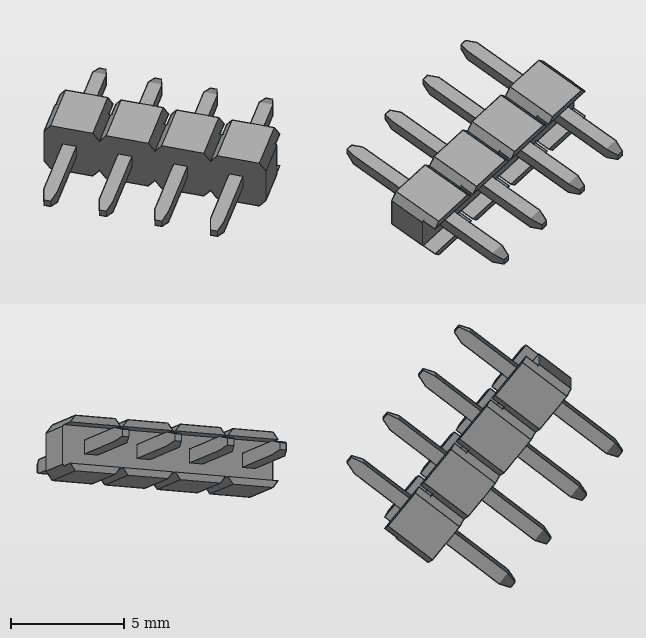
import cadquery as cq

cell_count = 4
body_length = 10.16
body_depth = 2.5
body_height = 2.5
pitch = body_length / cell_count

bevel_x = 0.3
bevel_z = 0.4

channel_depth = 0.69
lip_thickness = 0.33

pin_width = 0.63
tip_width = 0.31
tip_length = 0.53
front_reach = 3.68
back_reach = 3.03
pin_offset = -0.1

body_front = -body_depth / 2
body_back = body_depth / 2
pin_front = body_front - front_reach
pin_back = body_back + back_reach
cell_centers = [(i - (cell_count - 1) / 2) * pitch for i in range(cell_count)]


def box_between(x_size, y_start, y_end, z_size, x_center=0):
    """Box centred on Z that spans y_start to y_end."""
    return (
        cq.Workplane("XY")
        .box(x_size, y_end - y_start, z_size)
        .translate((x_center, (y_start + y_end) / 2, 0))
    )


def make_cell(x_center):
    """Octagonal prism along Y: one cell of the body."""
    half_width = pitch / 2
    half_height = body_height / 2
    flat_x = half_width - bevel_x
    flat_z = half_height - bevel_z
    outline = [
        (-half_width, -flat_z),
        (-flat_x, -half_height),
        (flat_x, -half_height),
        (half_width, -flat_z),
        (half_width, flat_z),
        (flat_x, half_height),
        (-flat_x, half_height),
        (-half_width, flat_z),
    ]
    return (
        cq.Workplane("XZ")
        .polyline(outline)
        .close()
        .extrude(body_depth / 2, both=True)
        .translate((x_center, 0, 0))
    )


def make_tip(x_center, y_start, direction):
    """Square taper from the full pin width down to the tip width."""
    base = cq.Plane(origin=(x_center, y_start, 0), xDir=(1, 0, 0), normal=(0, direction, 0))
    return (
        cq.Workplane(base)
        .rect(pin_width, pin_width)
        .workplane(offset=tip_length)
        .rect(tip_width, tip_width)
        .loft(ruled=True)
    )


def make_pin(x_center):
    """Straight square shank with a tapered tip at each end."""
    shank_front = pin_front + tip_length
    shank_back = pin_back - tip_length
    shank = box_between(pin_width, shank_front, shank_back, pin_width, x_center)
    front_tip = make_tip(x_center, shank_front, -1)
    back_tip = make_tip(x_center, shank_back, 1)
    return shank.union(front_tip).union(back_tip)


result = make_cell(cell_centers[0])
for center in cell_centers[1:]:
    result = result.union(make_cell(center))
channel_height = body_height - 2 * lip_thickness
result = result.cut(box_between(body_length, body_back - channel_depth, body_back, channel_height))

for center in cell_centers:
    result = result.union(make_pin(center + pin_offset))